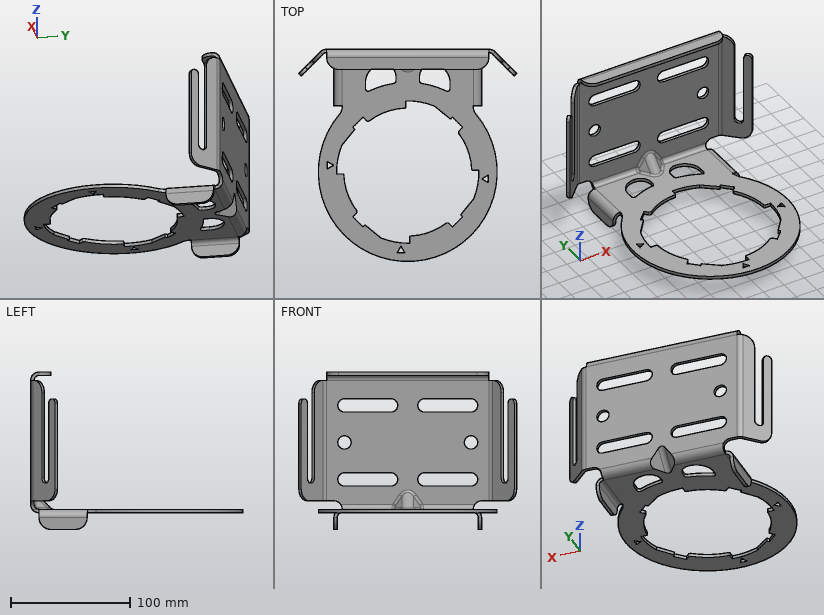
import cadquery as cq
import math

SHEET = 3.0
BEND_INNER = 4.0
BEND_OUTER = BEND_INNER + SHEET
CORNER_RADIUS = 10.0

WALL_BACK_Y = 103.0
WALL_FRONT_Y = WALL_BACK_Y - SHEET
WALL_BEND_Y = WALL_BACK_Y - BEND_OUTER
WALL_HALF_WIDTH = 68.0
TOP_Z = 118.0
WALL_TOP_Z = TOP_Z - BEND_OUTER
WALL_BOTTOM_Z = 10.0
LIP_REACH = BEND_OUTER + CORNER_RADIUS
LIP_EDGE_Y = WALL_BACK_Y - LIP_REACH
RELIEF_RADIUS = 7.0

MOUNT_DIAMETER = 11.0
MOUNT_LENGTH = 50.0
MOUNT_OUTER_X = 58.5
MOUNT_CENTER_Z = 59.0
MOUNT_ROW_PITCH = 31.0

WING_ANGLE = 45.0
WING_LENGTH = 26.0
WING_SLOT_START = 10.5
WING_SLOT_WIDTH = 8.0
WING_SLOT_BOTTOM_Z = 25.0
FINGER_TOP_Z = 95.5

RING_RADIUS = 75.0
BASE_HALF_WIDTH = 55.0
BASE_BACK_Y = WALL_BEND_Y
NECK_RADIUS = 10.0

FLANGE_HALF_WIDTH = BASE_HALF_WIDTH + BEND_OUTER
FLANGE_BOTTOM_Z = -14.0
FLANGE_FRONT_Y = 55.5

BORE_RADIUS = 53.5
ENTRY_RADIUS = 59.5
STEP_OFFSET = 1.5
RAMP_START_X = 22.5
RAMP_END_RADIUS = 56.6
NOTCH_DEPTH_RADIUS = 59.0
NOTCH_HALF_WIDTH = 6.0
STEP_CORNER_RADIUS = 1.0
NOTCH_CORNER_RADIUS = 2.0
QUARTERS = 4

MARKER_TIP_RADIUS = 62.2
MARKER_OFFSET = 5.7
MARKER_SIDE = 6.0
MARKER_ANGLES = (0, 180, 270)

WINDOW_INNER_X = 10.0
WINDOW_OUTER_X = 35.3
WINDOW_TOP_Y = 90.2
WINDOW_BOTTOM_RADIUS = 75.3
WINDOW_INNER_CORNER = 10.0
WINDOW_OUTER_CORNER = 15.0
WINDOW_LOWER_CORNER = 2.0

GUSSET_REACH = 15.0
GUSSET_RIDGE_RADIUS = 7.0
GUSSET_ROOT_RADIUS = 3.0


def block(x_range, y_range, z_range):
    """Box between two limits on each axis."""
    size = [high - low for low, high in (x_range, y_range, z_range)]
    corner = (x_range[0], y_range[0], z_range[0])
    return cq.Workplane("XY").box(*size, centered=False).translate(corner)


def both_sides(shape):
    """The shape together with its mirror image across the YZ plane."""
    return shape.union(shape.mirror("YZ"))


def make_wall():
    """Wall with the top lip and the bottom bend, trimmed to the base width at the bottom."""
    width = (-WALL_HALF_WIDTH, WALL_HALF_WIDTH)
    outer = block(width, (LIP_EDGE_Y, WALL_BACK_Y), (0, TOP_Z))
    outer = outer.edges("|X and >Y").fillet(BEND_OUTER)
    inner = block(width, (LIP_EDGE_Y, WALL_FRONT_Y), (SHEET, TOP_Z - SHEET))
    inner = inner.edges("|X and >Y").fillet(BEND_INNER)
    wall = outer.cut(inner)

    lip_zone = block(width, (LIP_EDGE_Y, WALL_BACK_Y), (WALL_TOP_Z, TOP_Z))
    rounded_lip_zone = lip_zone.edges("|Z and <Y").fillet(CORNER_RADIUS)
    wall = wall.cut(lip_zone.cut(rounded_lip_zone))

    relief = block(
        (BASE_HALF_WIDTH, WALL_HALF_WIDTH), (LIP_EDGE_Y, WALL_BACK_Y), (0, WALL_BOTTOM_Z)
    )
    relief = relief.edges("|Y and <X and >Z").fillet(RELIEF_RADIUS)
    return wall.cut(both_sides(relief))


def mount_openings():
    """Two rows of slots with a row of round holes between them."""
    slot_x = MOUNT_OUTER_X - MOUNT_LENGTH / 2
    hole_x = MOUNT_OUTER_X - MOUNT_DIAMETER / 2
    back = cq.Workplane("XZ", origin=(0, WALL_BACK_Y, MOUNT_CENTER_Z))
    slots = (
        back.rarray(2 * slot_x, 2 * MOUNT_ROW_PITCH, 2, 2)
        .slot2D(MOUNT_LENGTH, MOUNT_DIAMETER)
        .extrude(SHEET)
    )
    holes = back.rarray(2 * hole_x, 1, 2, 1).circle(MOUNT_DIAMETER / 2).extrude(SHEET)
    return slots.union(holes)


def make_wing():
    """Wing on the +X side: a bend and a flat tab split by an open slot."""
    bend = (
        cq.Workplane("YZ", origin=(WALL_HALF_WIDTH, WALL_BEND_Y, 0))
        .moveTo(BEND_INNER, WALL_BOTTOM_Z)
        .lineTo(BEND_OUTER, WALL_BOTTOM_Z)
        .lineTo(BEND_OUTER, WALL_TOP_Z)
        .lineTo(BEND_INNER, WALL_TOP_Z)
        .close()
        .revolve(WING_ANGLE, (0, 1, 0), (0, 0, 0))
    )

    cosine = math.cos(math.radians(WING_ANGLE))
    sine = math.sin(math.radians(WING_ANGLE))
    tab_plane = cq.Plane(
        origin=(WALL_HALF_WIDTH + BEND_INNER * sine, WALL_BEND_Y + BEND_INNER * cosine, 0),
        xDir=(cosine, -sine, 0),
        normal=(-sine, -cosine, 0),
    )
    slot_end = WING_SLOT_START + WING_SLOT_WIDTH
    slot_radius = WING_SLOT_WIDTH / 2
    slot_arc_z = WING_SLOT_BOTTOM_Z + slot_radius
    finger_radius = (WING_LENGTH - slot_end) / 2
    finger_arc_z = FINGER_TOP_Z - finger_radius
    tab = (
        cq.Workplane(tab_plane)
        .moveTo(0, WALL_BOTTOM_Z)
        .lineTo(WING_LENGTH - CORNER_RADIUS, WALL_BOTTOM_Z)
        .radiusArc((WING_LENGTH, WALL_BOTTOM_Z + CORNER_RADIUS), -CORNER_RADIUS)
        .lineTo(WING_LENGTH, finger_arc_z)
        .threePointArc((WING_LENGTH - finger_radius, FINGER_TOP_Z), (slot_end, finger_arc_z))
        .lineTo(slot_end, slot_arc_z)
        .threePointArc((slot_end - slot_radius, WING_SLOT_BOTTOM_Z), (WING_SLOT_START, slot_arc_z))
        .lineTo(WING_SLOT_START, WALL_TOP_Z - CORNER_RADIUS)
        .radiusArc((WING_SLOT_START - CORNER_RADIUS, WALL_TOP_Z), -CORNER_RADIUS)
        .lineTo(0, WALL_TOP_Z)
        .close()
        .extrude(-SHEET)
    )
    return bend.union(tab)


def make_base():
    """Flat ring joined to the wall bend by a straight neck with rounded inside corners."""
    fillet_x = BASE_HALF_WIDTH + NECK_RADIUS
    fillet_y = math.sqrt((RING_RADIUS + NECK_RADIUS) ** 2 - fillet_x**2)
    shrink = RING_RADIUS / (RING_RADIUS + NECK_RADIUS)
    ring_x = fillet_x * shrink
    ring_y = fillet_y * shrink
    return (
        cq.Workplane("XY")
        .moveTo(-BASE_HALF_WIDTH, BASE_BACK_Y)
        .lineTo(BASE_HALF_WIDTH, BASE_BACK_Y)
        .lineTo(BASE_HALF_WIDTH, fillet_y)
        .radiusArc((ring_x, ring_y), -NECK_RADIUS)
        .threePointArc((0, -RING_RADIUS), (-ring_x, ring_y))
        .radiusArc((-BASE_HALF_WIDTH, fillet_y), -NECK_RADIUS)
        .close()
        .extrude(SHEET)
    )


def make_flanges():
    """Side flanges bent down from the edges of the neck."""
    length = (FLANGE_FRONT_Y, BASE_BACK_Y)
    outer_x = FLANGE_HALF_WIDTH
    inner_x = outer_x - SHEET
    outer = block((-outer_x, outer_x), length, (FLANGE_BOTTOM_Z, SHEET))
    outer = outer.edges("|X and <Z").fillet(CORNER_RADIUS)
    outer = outer.edges("|Y and >Z").fillet(BEND_OUTER)
    inner = block((-inner_x, inner_x), length, (FLANGE_BOTTOM_Z, 0))
    inner = inner.edges("|Y and >Z").fillet(BEND_INNER)
    return outer.cut(inner)


def bore_quarter():
    """One quarter of the bayonet opening: raised entry, ramp, square notch, plain arc."""
    diagonal = math.sqrt(0.5)

    def notch_point(outward, sideways):
        return ((outward + sideways) * diagonal, (outward - sideways) * diagonal)

    def at_radius(radius, offset):
        return math.sqrt(radius**2 - offset**2)

    ramp_end = notch_point(RAMP_END_RADIUS, -NOTCH_HALF_WIDTH)
    notch_exit = notch_point(at_radius(BORE_RADIUS, NOTCH_HALF_WIDTH), NOTCH_HALF_WIDTH)
    entry_start = (-STEP_OFFSET, at_radius(ENTRY_RADIUS, STEP_OFFSET))
    entry_end = (RAMP_START_X, at_radius(ENTRY_RADIUS, RAMP_START_X))
    quarter_end = (at_radius(BORE_RADIUS, STEP_OFFSET), STEP_OFFSET)
    quarter = (
        cq.Workplane("XY")
        .moveTo(0, 0)
        .lineTo(-STEP_OFFSET, 0)
        .lineTo(*entry_start)
        .radiusArc(entry_end, ENTRY_RADIUS)
        .lineTo(*ramp_end)
        .lineTo(*notch_point(NOTCH_DEPTH_RADIUS, -NOTCH_HALF_WIDTH))
        .lineTo(*notch_point(NOTCH_DEPTH_RADIUS, NOTCH_HALF_WIDTH))
        .lineTo(*notch_exit)
        .radiusArc(quarter_end, BORE_RADIUS)
        .close()
        .extrude(SHEET)
    )
    notch_edge = cq.selectors.NearestToPointSelector((*notch_exit, SHEET / 2))
    return quarter.edges(notch_edge).fillet(NOTCH_CORNER_RADIUS)


def make_bore():
    """Bayonet opening with a four-fold pattern around the ring axis."""
    quarter = bore_quarter()
    bore = quarter
    for index in range(1, QUARTERS):
        bore = bore.union(quarter.rotate((0, 0, 0), (0, 0, 1), index * 360 / QUARTERS))

    step_angle = math.pi / 2 + math.asin(STEP_OFFSET / BORE_RADIUS)
    for index in range(QUARTERS):
        angle = step_angle + index * 2 * math.pi / QUARTERS
        corner = (BORE_RADIUS * math.cos(angle), BORE_RADIUS * math.sin(angle), SHEET / 2)
        step_edge = cq.selectors.NearestToPointSelector(corner)
        bore = bore.edges(step_edge).fillet(STEP_CORNER_RADIUS)
    return bore


def make_markers():
    """Triangular openings on the ring that point at the bore."""
    height = MARKER_SIDE * math.sqrt(3) / 2
    base_x = MARKER_TIP_RADIUS + height
    marker = (
        cq.Workplane("XY")
        .moveTo(MARKER_TIP_RADIUS, -MARKER_OFFSET)
        .lineTo(base_x, -MARKER_OFFSET - MARKER_SIDE / 2)
        .lineTo(base_x, -MARKER_OFFSET + MARKER_SIDE / 2)
        .close()
        .extrude(SHEET)
    )
    markers = cq.Workplane("XY")
    for angle in MARKER_ANGLES:
        markers = markers.add(marker.rotate((0, 0, 0), (0, 0, 1), angle))
    return markers.combine()


def make_window():
    """Window on the +X side: rounded at the top, following the ring at the bottom."""
    window = block((WINDOW_INNER_X, WINDOW_OUTER_X), (0, WINDOW_TOP_Y), (0, SHEET))
    window = window.edges("|Z and >Y and <X").fillet(WINDOW_INNER_CORNER)
    window = window.edges("|Z and >Y and >X").fillet(WINDOW_OUTER_CORNER)
    window = window.cut(cq.Workplane("XY").circle(WINDOW_BOTTOM_RADIUS).extrude(SHEET))
    for x in (WINDOW_INNER_X, WINDOW_OUTER_X):
        y = math.sqrt(WINDOW_BOTTOM_RADIUS**2 - x**2)
        corner = cq.selectors.NearestToPointSelector((x, y, SHEET / 2))
        window = window.edges(corner).fillet(WINDOW_LOWER_CORNER)
    return window


def gusset_prism(ridge_radius, inset):
    """45-degree prism with a right-angled section and a rounded ridge.

    With no inset, the ridge meets the wall and the base at GUSSET_REACH from their corner.
    An inset moves the whole skin of the prism inward by that distance.
    """
    half_length = 2 * GUSSET_REACH
    ridge_height = GUSSET_REACH * math.sqrt(0.5) - inset
    apex = ridge_height + ridge_radius * (math.sqrt(2) - 1)
    plane = cq.Plane(origin=(0, WALL_FRONT_Y, SHEET), xDir=(1, 0, 0), normal=(0, -1, -1))
    prism = (
        cq.Workplane(plane)
        .moveTo(0, apex)
        .lineTo(2 * apex, -apex)
        .lineTo(-2 * apex, -apex)
        .close()
        .extrude(half_length, both=True)
    )
    ridge_point = plane.toWorldCoords((0, apex, 0)).toTuple()
    return prism.edges(cq.selectors.NearestToPointSelector(ridge_point)).fillet(ridge_radius)


def add_gusset(sheet):
    """Raise the gusset on the inside of the bottom bend and press it hollow from outside."""
    half_span = 2 * GUSSET_REACH
    span_x = (-half_span, half_span)
    span_y = (WALL_FRONT_Y - half_span, WALL_FRONT_Y)
    inside = block(span_x, span_y, (SHEET, half_span))
    inside = inside.edges("|X and >Y and <Z").fillet(BEND_INNER)
    raised = gusset_prism(GUSSET_RIDGE_RADIUS, 0).intersect(inside)

    ridge_direction = cq.Vector(0, 1, 1)
    margin = 0.1
    zone_reach = GUSSET_REACH + GUSSET_RIDGE_RADIUS
    root_zone = cq.selectors.BoxSelector(
        (-GUSSET_REACH, WALL_FRONT_Y - zone_reach, SHEET - margin),
        (GUSSET_REACH, WALL_FRONT_Y + margin, SHEET + zone_reach),
    )
    root_edges = root_zone - cq.selectors.ParallelDirSelector(ridge_direction)
    sheet = sheet.union(raised).edges(root_edges).fillet(GUSSET_ROOT_RADIUS)

    hollow = gusset_prism(GUSSET_RIDGE_RADIUS - SHEET, SHEET)
    hollow = hollow.intersect(block(span_x, (span_y[0], WALL_BACK_Y), (0, half_span)))
    return sheet.cut(hollow)


result = make_wall().union(make_base()).union(make_flanges()).union(both_sides(make_wing()))
result = add_gusset(result)
result = result.cut(mount_openings()).cut(make_bore()).cut(make_markers())
result = result.cut(both_sides(make_window()))